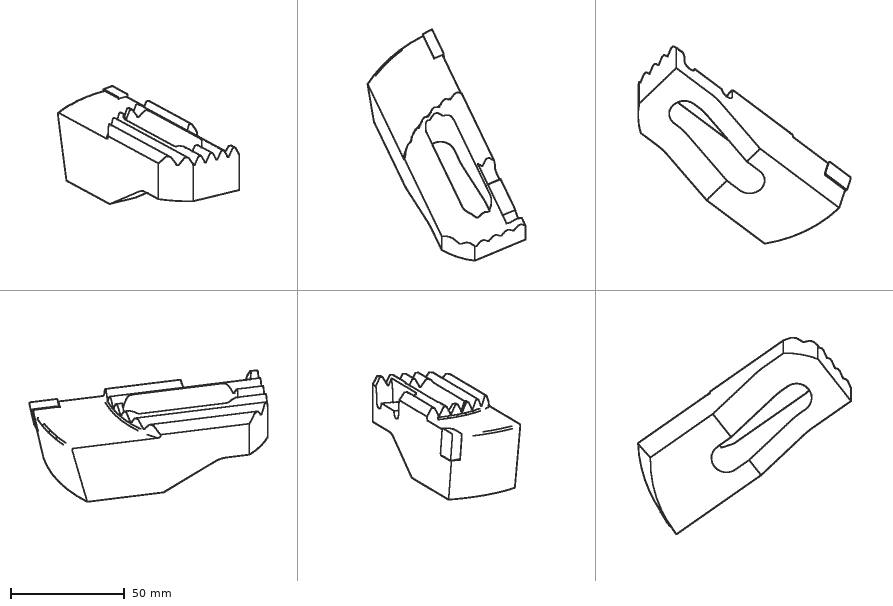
import cadquery as cq
import math

LENGTH = 102.0
WIDTH = 35.7
CLEARANCE = 5.1

CREST_Z = 35.4
PLATFORM_Z = 30.1
SHANK_BOTTOM_Z = 14.8
RAMP_START_X = 52.7
RAMP_ANGLE = 30.0
RAMP_FILLET = 10.2

NOSE_X = 0.6
NOSE_RADIUS = 63.9
NOSE_LEAN = 10.7
NOSE_FILLET = 0.8
NOSE_SLOPE = math.tan(math.radians(NOSE_LEAN))
NOSE_CENTER_X = NOSE_X + NOSE_RADIUS

PAD_X = 33.6
PAD_RADIUS = 44.6
PAD_FILLET = 0.8
PAD_CENTER_X = PAD_X + PAD_RADIUS

CORNER_X = 91.4
CORNER_Y = 11.2
CORNER_RADIUS = 35.7

TOOTH_COUNT = 6
TOOTH_PITCH = 6.0
CREST_WIDTH = 1.4
CREST_FILLET = 0.4
VALLEY_WIDTH = 0.5
VALLEY_Z = 31.6
VALLEY_ROUND_RISE = 0.2

SLOT_START_X = 38.7
SLOT_END_X = 90.3
SLOT_WIDTH = 13.3
SLOT_Y = 20.2

RECESS_START_X = 69.3
RECESS_END_X = 97.1
RECESS_FRONT_Y = 28.0
RECESS_FLOOR_Z = 25.5
GROOVE_RADIUS = 3.0
FLARE_START_Z = 28.8
FLARE_ANGLE = 15.0

INSERT_LENGTH = 12.9
INSERT_TOP_Z = 31.1
INSERT_BOTTOM_Z = 18.4
INSERT_DEPTH = 4.7
INSERT_OVERHANG = 0.6
INSERT_CORNER_RADIUS = 0.8
INSERT_TAPER = 6.0
INSERT_SHARP_X = INSERT_CORNER_RADIUS * (1 - NOSE_SLOPE - 1 / math.cos(math.radians(NOSE_LEAN)))


def side_blank():
    """Side outline of the holder, with a plain vertical nose, extruded across the width."""
    ramp_end_x = RAMP_START_X + SHANK_BOTTOM_Z / math.tan(math.radians(RAMP_ANGLE))
    blank = (
        cq.Workplane("XZ")
        .polyline([
            (0, 0),
            (RAMP_START_X, 0),
            (ramp_end_x, SHANK_BOTTOM_Z),
            (LENGTH, SHANK_BOTTOM_Z),
            (LENGTH, CREST_Z),
            (0, CREST_Z),
        ])
        .close()
        .extrude(-WIDTH)
    )
    ramp_corner = cq.selectors.NearestToPointSelector((ramp_end_x, WIDTH / 2, SHANK_BOTTOM_Z))
    return blank.edges(ramp_corner).fillet(RAMP_FILLET)


def nose_envelope():
    """Upright cone that shapes the nose, joined to a box that keeps everything behind its axis."""
    bottom_radius = NOSE_RADIUS - PLATFORM_Z * NOSE_SLOPE
    top_radius = bottom_radius + CREST_Z * NOSE_SLOPE
    cone = (
        cq.Workplane("XZ", origin=(NOSE_CENTER_X, WIDTH, 0))
        .polyline([(0, 0), (bottom_radius, 0), (top_radius, CREST_Z), (0, CREST_Z)])
        .close()
        .revolve(360, (0, 0), (0, 1))
    )
    rear_box = (
        cq.Workplane("XY")
        .box(LENGTH, WIDTH, CREST_Z, centered=False)
        .translate((NOSE_CENTER_X, 0, 0))
    )
    return cone.union(rear_box)


def platform_ends(body):
    """The two curved edges of the platform face: the nose rim and the foot of the pad wall."""
    platform_center = cq.selectors.NearestToPointSelector((PAD_X / 2, WIDTH / 2, PLATFORM_Z))
    return body.faces(platform_center).edges("not |X")


def cut_platform(body):
    """Lower the nose to the platform, leaving the pad with its curved, filleted end wall."""
    pad = cq.Workplane("XY", origin=(PAD_CENTER_X, WIDTH, PLATFORM_Z)).circle(PAD_RADIUS).extrude(CREST_Z)
    step = (
        cq.Workplane("XY")
        .box(PAD_CENTER_X + CLEARANCE, WIDTH + 2 * CLEARANCE, CREST_Z, centered=False)
        .translate((-CLEARANCE, -CLEARANCE, PLATFORM_Z))
        .cut(pad)
    )
    body = body.cut(step)
    pad_foot = cq.selectors.NearestToPointSelector((PAD_X, WIDTH, PLATFORM_Z))
    nose_rim = cq.selectors.NearestToPointSelector((NOSE_X, WIDTH, PLATFORM_Z))
    body = platform_ends(body).edges(pad_foot).fillet(PAD_FILLET)
    return platform_ends(body).edges(nose_rim).fillet(NOSE_FILLET)


def cut_serrations(body):
    """Round-bottomed grooves along X; the two outermost ones are cut in half by the sides."""
    half_top = (TOOTH_PITCH - CREST_WIDTH) / 2
    half_valley = VALLEY_WIDTH / 2
    groove_edge_z = VALLEY_Z + VALLEY_ROUND_RISE
    groove = (
        cq.Workplane("YZ")
        .moveTo(-half_top, CREST_Z)
        .lineTo(-half_valley, groove_edge_z)
        .threePointArc((0, VALLEY_Z), (half_valley, groove_edge_z))
        .lineTo(half_top, CREST_Z)
        .close()
        .extrude(LENGTH)
    )
    for index in range(TOOTH_COUNT + 1):
        groove_y = WIDTH / 2 + (index - TOOTH_COUNT / 2) * TOOTH_PITCH
        body = body.cut(groove.translate((0, groove_y, 0)))
    return body.faces(">Z").edges("|X").fillet(CREST_FILLET)


def clamping_slot():
    """Vertical through slot with round ends."""
    center_x = (SLOT_START_X + SLOT_END_X) / 2
    return (
        cq.Workplane("XY", origin=(center_x, SLOT_Y, 0))
        .slot2D(SLOT_END_X - SLOT_START_X, SLOT_WIDTH)
        .extrude(CREST_Z)
    )


def rear_corner():
    """Waste outside the arc that rounds the rear corner."""
    return (
        cq.Workplane("XY")
        .moveTo(CORNER_X, 0)
        .radiusArc((LENGTH, CORNER_Y), -CORNER_RADIUS)
        .lineTo(LENGTH + CLEARANCE, CORNER_Y)
        .lineTo(LENGTH + CLEARANCE, -CLEARANCE)
        .lineTo(CORNER_X, -CLEARANCE)
        .close()
        .extrude(CREST_Z)
    )


def back_recess():
    """Recess with a flat floor between two round grooves and end walls that flare at the top."""
    flare = (CREST_Z - FLARE_START_Z) * math.tan(math.radians(FLARE_ANGLE))
    groove_bottom_z = RECESS_FLOOR_Z - GROOVE_RADIUS
    left_center_x = RECESS_START_X + GROOVE_RADIUS
    right_center_x = RECESS_END_X - GROOVE_RADIUS
    return (
        cq.Workplane("XZ", origin=(0, WIDTH, 0))
        .moveTo(RECESS_START_X, RECESS_FLOOR_Z)
        .threePointArc((left_center_x, groove_bottom_z), (left_center_x + GROOVE_RADIUS, RECESS_FLOOR_Z))
        .lineTo(right_center_x - GROOVE_RADIUS, RECESS_FLOOR_Z)
        .threePointArc((right_center_x, groove_bottom_z), (RECESS_END_X, RECESS_FLOOR_Z))
        .lineTo(RECESS_END_X, FLARE_START_Z)
        .lineTo(RECESS_END_X + flare, CREST_Z)
        .lineTo(RECESS_START_X - flare, CREST_Z)
        .lineTo(RECESS_START_X, FLARE_START_Z)
        .close()
        .extrude(WIDTH - RECESS_FRONT_Y)
    )


def insert_prism(taper):
    """Rounded parallelogram on the insert's back face, extruded to the front with a taper."""
    lean = (INSERT_TOP_Z - INSERT_BOTTOM_Z) * NOSE_SLOPE
    outline = (
        cq.Sketch()
        .polygon([
            (0, INSERT_TOP_Z),
            (INSERT_LENGTH, INSERT_TOP_Z),
            (INSERT_LENGTH + lean, INSERT_BOTTOM_Z),
            (lean, INSERT_BOTTOM_Z),
            (0, INSERT_TOP_Z),
        ])
        .vertices()
        .fillet(INSERT_CORNER_RADIUS)
    )
    return (
        cq.Workplane("XZ", origin=(INSERT_SHARP_X, WIDTH + INSERT_OVERHANG, 0))
        .placeSketch(outline)
        .extrude(INSERT_DEPTH, taper=taper)
    )


def build_insert():
    """Cutting insert, relieved on all four edges."""
    return insert_prism(INSERT_TAPER)


def build_holder():
    """Holder with its serrated pad, slot, recess and insert pocket."""
    body = side_blank().intersect(nose_envelope())
    body = cut_platform(body)
    body = cut_serrations(body)
    body = body.cut(clamping_slot()).cut(rear_corner()).cut(back_recess())
    return body.cut(insert_prism(taper=0))


insert = build_insert()
holder = build_holder()
result = cq.Compound.makeCompound([holder.val(), insert.val()])